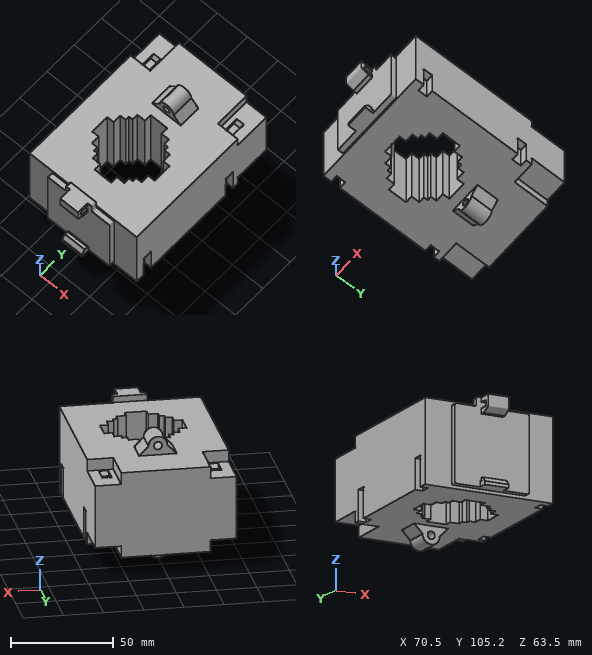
import cadquery as cq

WIDTH = 70.5
LENGTH = 95.0
HEIGHT = 44.5
FRONT_Y = -35.0
BACK_Y = FRONT_Y + LENGTH
TOP_Z = HEIGHT / 2
SIDE_X = WIDTH / 2

BAR_SIZES = [(41.0, 10.9), (32.6, 20.7), (25.6, 25.6)]

STEP_WIDTH = 13.0
STEP_LENGTH = 21.0
STEP_DEPTH = 6.0

POCKET_WIDTH = 4.6
POCKET_LENGTH = 9.2
POCKET_FLOOR_LENGTH = 5.2
POCKET_DEPTH = 2.0
POCKET_SIDE_INSET = 7.9
POCKET_BACK_INSET = 10.4

SLOT_WIDTH = 5.4
SLOT_HEIGHT = 16.1
SLOT_DEPTH = 4.1
SLOT_BACK_INSETS = [24.5, 84.5]

LUG_RADIUS = 4.75
LUG_SPAN = 63.5
LUG_HEIGHT = (LUG_SPAN - HEIGHT) / 2
LUG_AXIS_HEIGHT = LUG_HEIGHT - LUG_RADIUS
LUG_BASE_WIDTH = 18.8
LUG_LENGTH = 13.0
LUG_BACK_Y = BACK_Y - STEP_LENGTH
LUG_HOLE_DIAMETER = 4.0

PLATE_SIZE = 41.0
PLATE_THICKNESS = 3.2
PLATE_FRONT_Y = FRONT_Y - PLATE_THICKNESS
PLATE_BOTTOM_Z = -PLATE_SIZE / 2
PLATE_RADIUS = 1.0
TAB_WIDTH = 17.2
TAB_RISE = 3.2
TAB_TOP_Z = TOP_Z + TAB_RISE

CATCH_WIDTH = 11.7
CATCH_REACH = 7.0
CATCH_HEIGHT = 8.5
CATCH_NOSE_HEIGHT = 6.4
CATCH_FLAT = 2.3
CATCH_NOSE_RADIUS = 0.7
EYE_REACH = 5.0
EYE_HEIGHT = 3.2
EYE_DROP = 2.45
EYE_RADIUS = 1.2

HOOK_WIDTH = 13.1
HOOK_REACH = 5.0
HOOK_HEIGHT = 4.3
HOOK_NOSE_HEIGHT = 1.8
HOOK_TIP_REACH = 2.9
HOOK_NOTCH_REACH = 1.0
HOOK_NOTCH_DEPTH = 1.2


def box(x_range, y_range, z_range):
    """Axis-aligned block between the given pairs of limits."""
    sizes = [high - low for low, high in (x_range, y_range, z_range)]
    corner = (x_range[0], y_range[0], z_range[0])
    return cq.Workplane("XY").box(*sizes, centered=False).translate(corner)


def extrude_across(profile, width):
    """Extrude a closed YZ profile symmetrically about X = 0."""
    return profile.extrude(width / 2, both=True)


def mirrored_pair(shape):
    """A shape together with its mirror image across X = 0."""
    return shape.union(shape.mirror("YZ"))


def bar_window():
    cutter = cq.Workplane("XY")
    for long_side, short_side in BAR_SIZES:
        cutter = cutter.union(cq.Workplane("XY").box(long_side, short_side, HEIGHT))
        cutter = cutter.union(cq.Workplane("XY").box(short_side, long_side, HEIGHT))
    return cutter


def rear_steps():
    upper = box(
        (SIDE_X - STEP_WIDTH, SIDE_X),
        (BACK_Y - STEP_LENGTH, BACK_Y),
        (TOP_Z - STEP_DEPTH, TOP_Z),
    )
    return mirrored_pair(upper.union(upper.mirror("XY")))


def step_pockets():
    rim_z = TOP_Z - STEP_DEPTH
    rim_back = BACK_Y - POCKET_BACK_INSET
    rim_front = rim_back - POCKET_LENGTH
    taper = (POCKET_LENGTH - POCKET_FLOOR_LENGTH) / 2
    pocket = (
        cq.Workplane("YZ")
        .moveTo(rim_back, rim_z)
        .lineTo(rim_back - taper, rim_z - POCKET_DEPTH)
        .lineTo(rim_front + taper, rim_z - POCKET_DEPTH)
        .lineTo(rim_front, rim_z)
        .close()
    )
    pocket = extrude_across(pocket, POCKET_WIDTH)
    return mirrored_pair(pocket.translate((SIDE_X - POCKET_SIDE_INSET, 0, 0)))


def side_slots():
    slots = cq.Workplane("XY")
    for back_inset in SLOT_BACK_INSETS:
        slot_back = BACK_Y - back_inset
        slots = slots.union(box(
            (SIDE_X - SLOT_DEPTH, SIDE_X),
            (slot_back - SLOT_WIDTH, slot_back),
            (-TOP_Z, -TOP_Z + SLOT_HEIGHT),
        ))
    return mirrored_pair(slots)


def mounting_lugs():
    axis_z = TOP_Z + LUG_AXIS_HEIGHT
    upper = (
        cq.Workplane("XZ", origin=(0, LUG_BACK_Y, 0))
        .moveTo(-LUG_BASE_WIDTH / 2, TOP_Z)
        .lineTo(-LUG_RADIUS, axis_z)
        .threePointArc((0, TOP_Z + LUG_HEIGHT), (LUG_RADIUS, axis_z))
        .lineTo(LUG_BASE_WIDTH / 2, TOP_Z)
        .close()
        .extrude(LUG_LENGTH)
    )
    hole = (
        cq.Workplane("XZ", origin=(0, LUG_BACK_Y, 0))
        .center(0, axis_z)
        .circle(LUG_HOLE_DIAMETER / 2)
        .extrude(LUG_LENGTH)
    )
    upper = upper.cut(hole)
    return upper.union(upper.mirror("XY"))


def cover_plate():
    half = PLATE_SIZE / 2
    half_tab = TAB_WIDTH / 2
    plate = (
        cq.Workplane("XZ", origin=(0, FRONT_Y, 0))
        .moveTo(-half, PLATE_BOTTOM_Z)
        .lineTo(half, PLATE_BOTTOM_Z)
        .lineTo(half, half)
        .lineTo(half_tab, half)
        .lineTo(half_tab, TAB_TOP_Z)
        .lineTo(-half_tab, TAB_TOP_Z)
        .lineTo(-half_tab, half)
        .lineTo(-half, half)
        .close()
        .extrude(PLATE_THICKNESS)
    )
    return plate.edges("|Y").fillet(PLATE_RADIUS)


def looped_catch():
    catch = (
        cq.Workplane("YZ", origin=(0, PLATE_FRONT_Y, TAB_TOP_Z))
        .lineTo(-CATCH_REACH, 0)
        .lineTo(-CATCH_REACH, -CATCH_NOSE_HEIGHT)
        .lineTo(-CATCH_FLAT, -CATCH_HEIGHT)
        .lineTo(0, -CATCH_HEIGHT)
        .close()
    )
    catch = extrude_across(catch, CATCH_WIDTH)
    nose_z = TAB_TOP_Z - CATCH_NOSE_HEIGHT
    nose_edge = cq.selectors.NearestToPointSelector((0, PLATE_FRONT_Y - CATCH_REACH, nose_z))
    catch = catch.edges(nose_edge).fillet(CATCH_NOSE_RADIUS)
    eye = box(
        (-CATCH_WIDTH / 2, CATCH_WIDTH / 2),
        (PLATE_FRONT_Y - EYE_REACH, PLATE_FRONT_Y),
        (TAB_TOP_Z - EYE_DROP - EYE_HEIGHT, TAB_TOP_Z - EYE_DROP),
    )
    eye = eye.edges("|X and <Y").fillet(EYE_RADIUS)
    return catch.cut(eye)


def snap_hook():
    hook = (
        cq.Workplane("YZ", origin=(0, PLATE_FRONT_Y, PLATE_BOTTOM_Z))
        .lineTo(-HOOK_REACH, 0)
        .lineTo(-HOOK_REACH, HOOK_NOSE_HEIGHT)
        .lineTo(-HOOK_TIP_REACH, HOOK_HEIGHT)
        .lineTo(-HOOK_NOTCH_REACH, HOOK_HEIGHT)
        .lineTo(-HOOK_NOTCH_REACH, HOOK_HEIGHT - HOOK_NOTCH_DEPTH)
        .lineTo(0, HOOK_HEIGHT - HOOK_NOTCH_DEPTH)
        .close()
    )
    return extrude_across(hook, HOOK_WIDTH)


housing = box((-SIDE_X, SIDE_X), (FRONT_Y, BACK_Y), (-TOP_Z, TOP_Z))
for cutter in (bar_window(), rear_steps(), step_pockets(), side_slots()):
    housing = housing.cut(cutter)

result = housing
for addition in (mounting_lugs(), cover_plate(), looped_catch(), snap_hook()):
    result = result.union(addition)